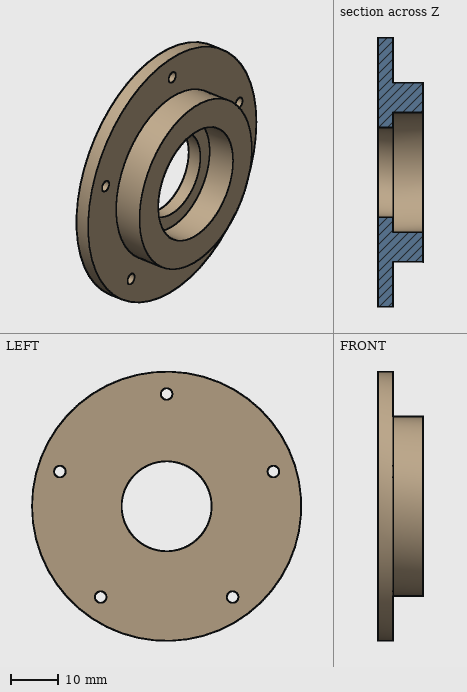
import cadquery as cq

flange_diameter = 57.15
flange_thickness = 3.2

hub_diameter = 38.1
total_length = 9.55

bore_diameter = 19.05
seat_diameter = 25.4
seat_depth = total_length - flange_thickness

hole_count = 5
hole_diameter = 2.4
hole_circle_diameter = 47.6
first_hole_angle = 90.0


def cylinder_along_x(diameter, start, length):
    """Solid cylinder on the X axis, beginning at x = start."""
    return cq.Workplane("YZ", origin=(start, 0, 0)).circle(diameter / 2).extrude(length)


flange = cylinder_along_x(flange_diameter, 0, flange_thickness)
hub = cylinder_along_x(hub_diameter, 0, total_length)
bore = cylinder_along_x(bore_diameter, 0, total_length)
seat = cylinder_along_x(seat_diameter, total_length - seat_depth, seat_depth)

mounting_holes = (
    cq.Workplane("YZ")
    .polarArray(hole_circle_diameter / 2, first_hole_angle, 360, hole_count)
    .circle(hole_diameter / 2)
    .extrude(flange_thickness)
)

result = flange.union(hub).cut(bore).cut(seat).cut(mounting_holes)